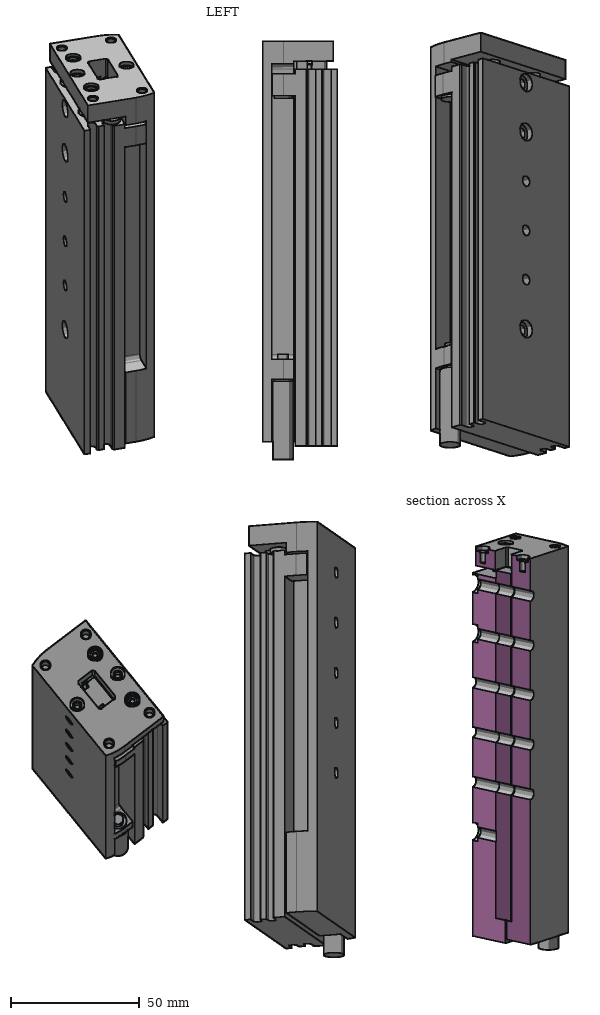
import cadquery as cq
import math


top_z = 162.4
end_plate_thickness = 7.8
plate_under_z = top_z - end_plate_thickness
housing_bottom_z = 5.2
housing_top_z = 151.5
table_bottom_z = 6.8

housing_half_width = 25.0
housing_back_y = 16.4
flange_thickness = 2.5
rib_half_width = 23.5
groove_edge_chamfer = 0.5
rib_y = (5.7, 8.5)
upper_groove_y = 11.5
groove_arc_half_width = 21.6
groove_floor_half_width = 20.0

table_half_width = 24.5
table_front_y = 16.9
plate_front_y = 1.55
table_back_y = 29.0
table_back_half_width = 23.0
side_bend_y = 21.0
side_inset = table_half_width - table_back_half_width
side_radius = (side_inset**2 + (table_back_y - side_bend_y) ** 2) / (2 * side_inset)

rail_half_width = 6.2
rail_y = (11.7, 19.2)
rail_notch_y = (15.8, 17.7)
rail_notch_depth = 1.8
window_half_width = 7.1
window_y = (11.4, 19.5)
window_corner = 0.6
guide_lip_y = (14.5, 18.8)
guide_lip_top_z = 149.7
groove_end_thickness = 7.8
groove_end_z = table_bottom_z + groove_end_thickness

pocket_wall_x = 15.6
pocket_floor_y = 25.5
pocket_corner_radius = 2.0
left_pocket_top_z = 153.6
right_pocket_top_z = 150.7
block_bottom_z = 31.2
block_top_z = 39.0
block_recess_diameter = 6.7
block_recess_depth = 1.6
lug_z = (141.1, 149.7)
lug_inner_x = 16.2
lug_back_y = 25.3
stop_x = 20.6
stop_y = 21.1
bumper_diameter = 7.0
bumper_height = 1.0
lug_hole_diameter = 4.0
lug_hole_depth = 3.2
bolt_diameter = 8.0
bolt_collar_diameter = 7.0
bolt_collar_height = 0.8
bolt_tip_diameter = 4.0
bolt_tip_height = 2.0

rod_x = 11.7
rod_y = 7.0
rod_diameter = 5.8
rod_bottom_z = 130.0
rod_top_z = 161.6
rod_tip_chamfer = 0.5
rod_socket_diameter = 3.5
rod_socket_depth = 1.3
rod_core_diameter = 2.0
rod_core_depth = 2.6
rod_recess_diameter = 10.0
rod_recess_depth = 1.3

plug_x = 20.6
plug_y = 12.5
plug_diameter = 6.7
plug_side_height = 1.6
plug_cap_diameter = 3.0
plug_cap_height = 0.6

hole_pitch = 20.0
row_top_z = 147.3
row_count = 6
row_heights = [row_top_z - i * hole_pitch for i in range(row_count)]
row_diameter = 4.0
row_counterbore_diameter = 7.0
row_counterbore_depth = 2.5
counterbored_heights = [row_heights[0], row_heights[1], row_heights[-1]]
plate_hole_front_y = 5.0
plate_hole_y = (plate_hole_front_y, plate_hole_front_y + hole_pitch)
corner_hole_diameter = 3.2
corner_hole_mouth = 4.0
pin_hole_diameter = 2.5
pin_hole_mouth = 3.5
pin_counterbore_diameter = 5.5
pin_counterbore_depth = 1.6
plate_hole_depth = 6.0


def box(x, y, z):
    """Box spanning the given (low, high) pairs."""
    size = [high - low for low, high in (x, y, z)]
    return cq.Workplane("XY").box(*size, centered=False).translate((x[0], y[0], z[0]))


def post(x, y, diameter, bottom_z, top):
    """Vertical cylinder between two heights."""
    circle = cq.Workplane("XY", origin=(x, y, bottom_z)).circle(diameter / 2)
    return circle.extrude(top - bottom_z)


def cone(x, y, bottom_diameter, bottom_z, top_diameter, top):
    """Vertical cone frustum between two heights."""
    base = cq.Vector(x, y, bottom_z)
    solid = cq.Solid.makeCone(bottom_diameter / 2, top_diameter / 2, top - bottom_z, base)
    return cq.Workplane(obj=solid)


def cross_hole(diameter, z, from_y, to_y):
    """Cylinder along Y on the middle plane."""
    circle = cq.Workplane("XZ", origin=(0, from_y, z)).circle(diameter / 2)
    return circle.extrude(from_y - to_y)


def cut_row(body, heights):
    """Drill the middle row of holes at the given heights."""
    for z in heights:
        body = body.cut(cross_hole(row_diameter, z, 0, table_back_y))
    return body


def mirrored(solid):
    """Copy on the other side of the middle plane."""
    return solid.mirror("YZ")


def housing_profile():
    """Outline with two round grooves along each side."""
    groove_middle_y = [(flange_thickness + rib_y[0]) / 2, (rib_y[1] + upper_groove_y) / 2]
    half = (
        cq.Workplane("XY", origin=(0, 0, housing_bottom_z))
        .moveTo(0, 0)
        .lineTo(-housing_half_width, 0)
        .lineTo(-housing_half_width, flange_thickness)
        .lineTo(-groove_arc_half_width, flange_thickness)
        .threePointArc((-groove_floor_half_width, groove_middle_y[0]), (-groove_arc_half_width, rib_y[0]))
        .lineTo(-rib_half_width + groove_edge_chamfer, rib_y[0])
        .lineTo(-rib_half_width, rib_y[0] + groove_edge_chamfer)
        .lineTo(-rib_half_width, rib_y[1])
        .lineTo(-groove_arc_half_width, rib_y[1])
        .threePointArc(
            (-groove_floor_half_width, groove_middle_y[1]),
            (-groove_arc_half_width, upper_groove_y),
        )
        .lineTo(-housing_half_width + groove_edge_chamfer, upper_groove_y)
        .lineTo(-housing_half_width, upper_groove_y + groove_edge_chamfer)
        .lineTo(-housing_half_width, housing_back_y)
        .lineTo(0, housing_back_y)
        .close()
        .extrude(housing_top_z - housing_bottom_z)
    )
    return half.union(mirrored(half))


def side_half_width(y, outset=0.0):
    """Half width at y on the arc that leads each side in towards the back, moved out by outset."""
    radius = side_radius + outset
    return table_half_width - side_radius + math.sqrt(radius**2 - (y - side_bend_y) ** 2)


def left_lug():
    """Stop lug that rises from the back of the housing into the side pocket of the table."""
    outset = housing_half_width - table_half_width
    middle_y = (side_bend_y + lug_back_y) / 2
    return (
        cq.Workplane("XY", origin=(0, 0, lug_z[0]))
        .moveTo(-lug_inner_x, housing_back_y)
        .lineTo(-housing_half_width, housing_back_y)
        .lineTo(-housing_half_width, side_bend_y)
        .threePointArc(
            (-side_half_width(middle_y, outset), middle_y),
            (-side_half_width(lug_back_y, outset), lug_back_y),
        )
        .lineTo(-lug_inner_x, lug_back_y)
        .close()
        .extrude(lug_z[1] - lug_z[0])
    )


def build_housing():
    """Housing with stop lugs, guide lips around the rail, rod bores, plug and middle row of holes."""
    body = housing_profile()
    body = body.union(left_lug()).union(mirrored(left_lug()))
    body = body.union(post(-stop_x, stop_y, bumper_diameter, lug_z[0] - bumper_height, lug_z[0]))
    body = body.cut(post(-stop_x, stop_y, lug_hole_diameter, lug_z[1] - lug_hole_depth, lug_z[1]))

    lip_x = (-window_half_width, window_half_width)
    body = body.union(box(lip_x, guide_lip_y, (groove_end_z, guide_lip_top_z)))
    body = body.cut(box(lip_x, guide_lip_y, (guide_lip_top_z, housing_top_z)))
    body = body.cut(rail_bar(groove_end_z, housing_top_z))

    recess_floor = housing_top_z - rod_recess_depth
    for side in (-1, 1):
        body = body.cut(post(side * rod_x, rod_y, rod_diameter, rod_bottom_z, housing_top_z))
        body = body.cut(post(side * rod_x, rod_y, rod_recess_diameter, recess_floor, housing_top_z))

    plug_top = housing_top_z + plug_side_height
    body = body.union(post(plug_x, plug_y, plug_diameter, housing_top_z, plug_top))
    cap_top = plug_top + plug_cap_height
    body = body.union(cone(plug_x, plug_y, plug_diameter, plug_top, plug_cap_diameter, cap_top))

    body = cut_row(body, row_heights)
    for z in counterbored_heights:
        body = body.cut(cross_hole(row_counterbore_diameter, z, 0, row_counterbore_depth))
    return body


def rail_bar(bottom_z, top):
    """Rectangular rail with a notch along each side."""
    bar = box((-rail_half_width, rail_half_width), rail_y, (bottom_z, top))
    notch = box((-rail_half_width, -rail_half_width + rail_notch_depth), rail_notch_y, (bottom_z, top))
    return bar.cut(notch).cut(mirrored(notch))


def build_rail():
    """Guide rail that ends under the end plate."""
    return cut_row(rail_bar(groove_end_z, plate_under_z), row_heights[:-1])


def table_outline(front_y, bottom_z):
    """Table cross-section behind front_y, with its sides leaning in towards the back, up to the top."""
    middle_y = (side_bend_y + table_back_y) / 2
    middle_half_width = side_half_width(middle_y)
    return (
        cq.Workplane("XY", origin=(0, 0, bottom_z))
        .moveTo(-table_half_width, front_y)
        .lineTo(-table_half_width, side_bend_y)
        .threePointArc((-middle_half_width, middle_y), (-table_back_half_width, table_back_y))
        .lineTo(table_back_half_width, table_back_y)
        .threePointArc((middle_half_width, middle_y), (table_half_width, side_bend_y))
        .lineTo(table_half_width, front_y)
        .close()
        .extrude(top_z - bottom_z)
    )


def left_pocket(bottom_z, top):
    """Pocket open to the front and the side, with rounded inner corners, on the -X side."""
    pocket = box((-housing_half_width, -pocket_wall_x), (table_front_y, pocket_floor_y), (bottom_z, top))
    return pocket.edges("|Y and >X").fillet(pocket_corner_radius)


def corner_hole(x, y):
    """Blind hole with a countersunk mouth in the top of the end plate."""
    mouth_depth = (corner_hole_mouth - corner_hole_diameter) / 2
    hole = post(x, y, corner_hole_diameter, top_z - plate_hole_depth, top_z)
    return hole.union(cone(x, y, corner_hole_diameter, top_z - mouth_depth, corner_hole_mouth, top_z))


def pin_hole(y):
    """Counterbored blind hole with a countersunk mouth on the middle plane of the end plate."""
    seat = top_z - pin_counterbore_depth
    mouth_depth = (pin_hole_mouth - pin_hole_diameter) / 2
    hole = post(0, y, pin_hole_diameter, top_z - plate_hole_depth, seat)
    hole = hole.union(cone(0, y, pin_hole_diameter, seat - mouth_depth, pin_hole_mouth, seat))
    return hole.union(post(0, y, pin_counterbore_diameter, seat, top_z))


def cut_side_pockets(body):
    """Pockets for the stop lugs, and the space and seat of the stop bolt around its block."""
    body = body.cut(left_pocket(block_top_z, left_pocket_top_z))
    body = body.cut(mirrored(left_pocket(block_top_z, right_pocket_top_z)))
    bolt_space_x = (-housing_half_width, -pocket_wall_x)
    bolt_space_y = (table_front_y, pocket_floor_y)
    body = body.cut(box(bolt_space_x, bolt_space_y, (table_bottom_z, block_bottom_z)))
    body = body.cut(post(-stop_x, stop_y, bolt_tip_diameter, block_bottom_z, block_top_z))
    recess_floor = block_top_z - block_recess_depth
    return body.cut(post(-stop_x, stop_y, block_recess_diameter, recess_floor, block_top_z))


def build_table():
    """Sliding table with its end plate."""
    body = table_outline(table_front_y, table_bottom_z).union(table_outline(plate_front_y, plate_under_z))

    window = box((-window_half_width, window_half_width), window_y, (groove_end_z, top_z))
    body = body.cut(window.edges("|Z").chamfer(window_corner))
    body = cut_side_pockets(body)

    for y in plate_hole_y:
        body = body.cut(pin_hole(y))
        for x in (-hole_pitch, hole_pitch):
            body = body.cut(corner_hole(x, y))
    for side in (-1, 1):
        body = body.cut(post(side * rod_x, rod_y, rod_diameter, plate_under_z, top_z))
    return cut_row(body, row_heights[:-1])


def build_rod(x):
    """Rod from the housing into the end plate, with a stepped socket in its upper end."""
    rod = post(x, rod_y, rod_diameter, rod_bottom_z, rod_top_z).faces(">Z").chamfer(rod_tip_chamfer)
    rod = rod.cut(post(x, rod_y, rod_socket_diameter, rod_top_z - rod_socket_depth, rod_top_z))
    return rod.cut(post(x, rod_y, rod_core_diameter, rod_top_z - rod_core_depth, rod_top_z))


def build_stop_bolt():
    """Stop bolt below the table block, with its tip passing through the block."""
    collar_z = block_bottom_z - bolt_collar_height
    bolt = post(-stop_x, stop_y, bolt_diameter, 0, collar_z)
    bolt = bolt.union(post(-stop_x, stop_y, bolt_collar_diameter, collar_z, block_bottom_z))
    return bolt.union(post(-stop_x, stop_y, bolt_tip_diameter, block_bottom_z, block_top_z + bolt_tip_height))


housing = build_housing()
table = build_table()
rail = build_rail()
rods = [build_rod(side * rod_x) for side in (-1, 1)]
stop_bolt = build_stop_bolt()

result = cq.Compound.makeCompound(
    [housing.val(), table.val(), rail.val(), stop_bolt.val(), *[rod.val() for rod in rods]]
)